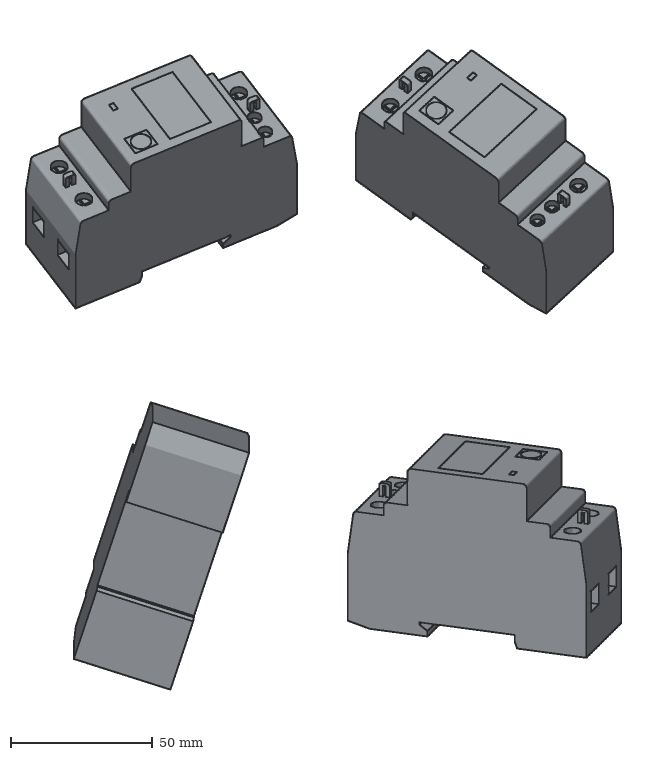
import cadquery as cq

width = 36
length = 90
height = 63

face_length = 45
shoulder_length = 63
shoulder_top = 49.0
ledge_length = 85.7
ledge_top = 43.9
slope_start = 28.0
edge_radius = 1.5

rail_half = 18
rail_depth = 5.0
hook_tip = 14.9
hook_tip_height = 2.2
hook_root_height = 4.2
rail_lead_in = 0.9
rail_lead_height = 2.5
foot_chamfer_length = 8.3
foot_chamfer_height = 2.0

entry_width = 8.1
entry_height = 7.9
entry_bottom = 15.7
entry_depth = 9

pole_offset = 9
rear_screw_row = 36.45
front_screw_row = -36.5
screw_hole = 6.0
screw_depth = 3.1
small_screw_xs = (4.05, 11.9)
small_screw_row = 35.5
small_screw_hole = 5.1
front_slot_length = 5.0
rear_slot_length = 5.9
small_slot_length = 4.2
slot_width = 0.5
slot_depth = 0.45
slot_centre = 1.1

loop_width = 2.0
loop_length = 4.0
loop_centre = 37.4
loop_radius = 0.9
loop_opening_length = 1.1
loop_opening_height = 4.05

mark_depth = 0.1
display_size = (27.9, 16.65)
display_centre = (0, 4.0)
button_size = (8.0, 9)
button_centre = (10.0, -13.95)
button_cap = 7.3
indicator_size = (3.15, 1.8)
indicator_centre = (-9.45, -14.2)


def box_from(x, y, z, size_x, size_y, size_z):
    """Box centred on (x, y) with its underside at z."""
    return cq.Workplane("XY", origin=(x, y, z)).box(size_x, size_y, size_z, centered=(True, True, False))


def make_housing():
    half = length / 2
    ledge = ledge_length / 2
    shoulder = shoulder_length / 2
    face = face_length / 2
    outline = [
        (-half, 0),
        (-half, slope_start),
        (-ledge, ledge_top),
        (-shoulder, ledge_top),
        (-shoulder, shoulder_top),
        (-face, shoulder_top),
        (-face, height),
        (face, height),
        (face, shoulder_top),
        (shoulder, shoulder_top),
        (shoulder, ledge_top),
        (ledge, ledge_top),
        (half, slope_start),
        (half, foot_chamfer_height),
        (half - foot_chamfer_length, 0),
        (hook_tip, 0),
        (hook_tip, hook_tip_height),
        (rail_half, hook_root_height),
        (rail_half, rail_depth),
        (-rail_half, rail_depth),
        (-rail_half, rail_lead_height),
        (-rail_half - rail_lead_in, 0),
    ]
    body = cq.Workplane("YZ").polyline(outline).close().extrude(width / 2, both=True)
    steps = ((face, height), (shoulder, shoulder_top), (ledge, ledge_top))
    for y, z in steps:
        for side in (-1, 1):
            corner = cq.selectors.NearestToPointSelector((0, side * y, z))
            body = body.edges("|X").edges(corner).fillet(edge_radius)
    return body


def wire_entry(x):
    y = (entry_depth - length) / 2
    return box_from(x, y, entry_bottom, entry_width, entry_depth, entry_height)


def screw_recess(x, y, diameter, slot_length):
    """Round hole with a cross-slotted screw head at its floor."""
    floor = ledge_top - screw_depth
    slot_floor = floor - slot_depth
    hole = cq.Workplane("XY", origin=(x, y, floor)).circle(diameter / 2).extrude(screw_depth)
    across = box_from(x, y, slot_floor, slot_length, slot_width, slot_depth)
    along = box_from(x, y, slot_floor, slot_width, slot_length, slot_depth)
    centre = box_from(0, 0, slot_floor, slot_centre, slot_centre, slot_depth)
    centre = centre.rotate((0, 0, 0), (0, 0, 1), 45).translate((x, y, 0))
    return hole.union(across).union(along).union(centre)


def sealing_loop(y):
    loop_height = shoulder_top - ledge_top
    loop = box_from(0, y, ledge_top, loop_width, loop_length, loop_height)
    loop = loop.edges("|X and >Z").fillet(loop_radius)
    opening = box_from(0, y, ledge_top, loop_width, loop_opening_length, loop_opening_height)
    return loop.cut(opening)


def face_mark(centre, size):
    return box_from(*centre, height - mark_depth, *size, mark_depth)


result = make_housing()

for pole_x in (-pole_offset, pole_offset):
    result = result.cut(wire_entry(pole_x))
    result = result.cut(screw_recess(pole_x, front_screw_row, screw_hole, front_slot_length))

result = result.cut(screw_recess(-pole_offset, rear_screw_row, screw_hole, rear_slot_length))
for screw_x in small_screw_xs:
    result = result.cut(screw_recess(screw_x, small_screw_row, small_screw_hole, small_slot_length))

for loop_y in (-loop_centre, loop_centre):
    result = result.union(sealing_loop(loop_y))

result = result.cut(face_mark(display_centre, display_size))
result = result.cut(face_mark(indicator_centre, indicator_size))

cap_base = cq.Workplane("XY", origin=(*button_centre, height - mark_depth))
cap = cap_base.circle(button_cap / 2).extrude(mark_depth)
result = result.cut(face_mark(button_centre, button_size).cut(cap))